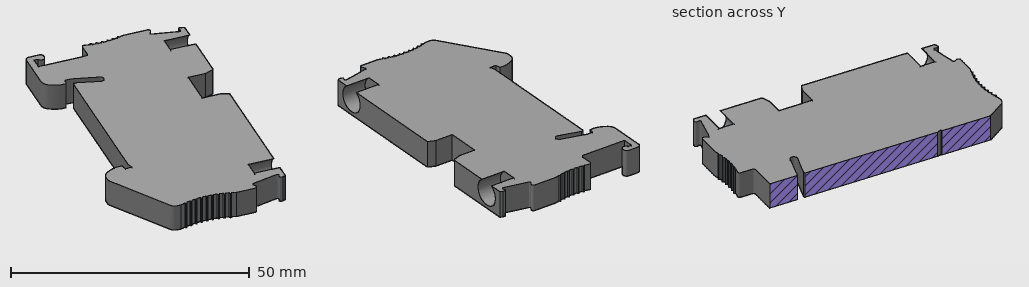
import cadquery as cq
import math

LENGTH = 61.8
HEIGHT = 35.2
THICKNESS = 6.2
OVERSHOOT = 2.0

RAIL_TOP = 6.0
RAIL_LEFT = 12.55
RAIL_RIGHT = 45.3
RAIL_CORNER_RADIUS = 0.25
FOOT_LIP_LOW = 4.66
FOOT_LIP_HIGH = 4.9
LEFT_FOOT_NECK = 10.8
FOOT_TIP = (12.0, 3.4)
FOOT_FLANK_MIDDLE = (11.68, 2.25)
FOOT_TOE = (11.15, 1.2)
FOOT_TOE_MIDDLE = (10.4, 0.33)
FOOT_BOTTOM = (9.3, 0)
FEET_CENTRE = 28.05
RAIL_UNDERCUT = 0.4
RAIL_UNDERCUT_WIDTH = 1.25

SLIT_WIDTH = 1.6
SLIT_TOP = (13.1, 11.85)
SLIT_LOW = (11.65, 6.3)

HOOK_SIDE = 0.19
POCKET_TOP = 12.67
POCKET_FLOOR = 1.5
POCKET_RIGHT = 4.12
POCKET_TOP_RADIUS = 0.6
HOOK_INNER = 1.6
HOOK_TOP = 3.95
HOOK_HEAD_RADIUS = 0.75
HOOK_HEAD_FLAT_END = 1.35
HOOK_HEAD_BULGE = (2.1, 3.0)
HOOK_NECK = 2.35
LUG_RADIUS = 0.5
HOOK_BASE_RADIUS = 0.86

SLOPE_START = 48.0
SLOPE_END = 9.3
SLOPE_LOW_RADIUS = 1.5
SLOPE_HIGH_RADIUS = 1.6

RIDGE_CENTRE = 17.2
RIGHT_GRIP_CENTRE = 17.2
RIGHT_GRIP_HALF = 6.2
RIGHT_GRIP_DEPTH = 1.08
LEFT_GRIP_CENTRE = 17.0
LEFT_GRIP_HALF = 5.1
LEFT_GRIP_DEPTH = 0.8
RIDGE_PITCH = 1.25
RIDGE_HEIGHT = 0.32
RIDGE_BASE = 0.5
RIDGE_TIP = 0.2
RIDGE_ROOT = 0.3
RIGHT_RIDGES = range(-4, 5)
LEFT_RIDGES = range(-2, 4)

LATCH_LIP_X = 1.75
LATCH_LIP_Y = 33.75
LATCH_TOP = (3.1, 34.15)
LATCH_LOW = (1.65, 27.5)
LATCH_SHOULDER = 28.5
LATCH_LIP_CHAMFER = (0.25, 0.6)
LATCH_SMALL_RADIUS = 0.3
LATCH_SHOULDER_RADIUS = 0.5

NOTCH_LEFT = 19.2
NOTCH_RIGHT = 27.2
NOTCH_FLOOR = 29.27
NOTCH_LEFT_FLARE = (0.75, 2.0)
NOTCH_RIGHT_FLARE = (0.7, 1.7)
NOTCH_LEFT_RADIUS = 0.5

GROOVE_CENTRES = (6.72, 54.96)
GROOVE_MOUTH = 3.4
GROOVE_LENGTH = 5.75
GROOVE_RADIUS = 2.9
GROOVE_FLAT = 0.36


def prism(points):
    """Full-thickness prism over a closed polygon."""
    return cq.Workplane("XY").polyline(points).close().extrude(THICKNESS)


def mirrored(solid):
    """Copy of a solid mirrored to the other end of the plate."""
    return solid.mirror("YZ", (LENGTH / 2, 0, 0))


def round_corner(solid, x, y, radius):
    """Round the upright edge nearest to (x, y)."""
    nearest = cq.selectors.NearestToPointSelector((x, y, THICKNESS / 2))
    return solid.edges("|Z").edges(nearest).fillet(radius)


def facing(point):
    """The point on the right foot that mirrors a point on the left foot."""
    return (2 * FEET_CENTRE - point[0], point[1])


def rail_recess():
    right_tip = facing(FOOT_TIP)
    right_bottom = facing(FOOT_BOTTOM)
    recess = (
        cq.Workplane("XY")
        .moveTo(LEFT_FOOT_NECK, RAIL_TOP)
        .lineTo(LEFT_FOOT_NECK, FOOT_LIP_HIGH)
        .lineTo(FOOT_TIP[0], FOOT_LIP_LOW)
        .lineTo(*FOOT_TIP)
        .threePointArc(FOOT_FLANK_MIDDLE, FOOT_TOE)
        .threePointArc(FOOT_TOE_MIDDLE, FOOT_BOTTOM)
        .lineTo(FOOT_BOTTOM[0], -OVERSHOOT)
        .lineTo(right_bottom[0], -OVERSHOOT)
        .lineTo(*right_bottom)
        .threePointArc(facing(FOOT_TOE_MIDDLE), facing(FOOT_TOE))
        .threePointArc(facing(FOOT_FLANK_MIDDLE), right_tip)
        .lineTo(right_tip[0], FOOT_LIP_LOW)
        .lineTo(RAIL_RIGHT, FOOT_LIP_HIGH)
        .lineTo(RAIL_RIGHT, RAIL_TOP + RAIL_UNDERCUT)
        .lineTo(RAIL_RIGHT - RAIL_UNDERCUT_WIDTH, RAIL_TOP)
        .close()
        .extrude(THICKNESS)
    )
    return recess


def spring_slit():
    run = SLIT_TOP[0] - SLIT_LOW[0]
    rise = SLIT_TOP[1] - SLIT_LOW[1]
    length = math.hypot(run, rise)
    side = SLIT_WIDTH / 2 * rise / length
    drop = SLIT_WIDTH / 2 * run / length
    end_x = SLIT_TOP[0] + drop
    end_y = SLIT_TOP[1] + side
    slit = (
        cq.Workplane("XY")
        .moveTo(RAIL_LEFT, RAIL_TOP)
        .lineTo(SLIT_LOW[0] + side, SLIT_LOW[1] + drop)
        .lineTo(SLIT_TOP[0] + side, SLIT_TOP[1] - drop)
        .threePointArc((end_x, end_y), (SLIT_TOP[0] - side, SLIT_TOP[1] + drop))
        .lineTo(LEFT_FOOT_NECK, SLIT_LOW[1])
        .lineTo(LEFT_FOOT_NECK, RAIL_TOP)
        .close()
        .extrude(THICKNESS)
    )
    return slit


def ridge(base_x, y, outward):
    """One grip ridge standing on the grip surface; outward is -1 or +1 along X."""
    root = base_x - outward * RIDGE_ROOT
    tip = base_x + outward * RIDGE_HEIGHT
    return prism([
        (root, y - RIDGE_BASE / 2),
        (base_x, y - RIDGE_BASE / 2),
        (tip, y - RIDGE_TIP / 2),
        (tip, y + RIDGE_TIP / 2),
        (base_x, y + RIDGE_BASE / 2),
        (root, y + RIDGE_BASE / 2),
    ])


def arc_radius(half_chord, depth):
    return (half_chord ** 2 + depth ** 2) / (2 * depth)


def add_grip(plate, edge_x, outward, centre_y, half_chord, depth, ridge_numbers):
    """Hollow one end of the plate with an arc and set ridges along it."""
    radius = arc_radius(half_chord, depth)
    axis_x = edge_x + outward * (radius - depth)
    plate = plate.cut(cq.Workplane("XY").center(axis_x, centre_y).circle(radius).extrude(THICKNESS))
    for number in ridge_numbers:
        ridge_y = RIDGE_CENTRE + number * RIDGE_PITCH
        base_x = axis_x - outward * math.sqrt(radius ** 2 - (ridge_y - centre_y) ** 2)
        plate = plate.union(ridge(base_x, ridge_y, outward))
    return plate


def groove(centre_x):
    """Channel of slot-shaped section whose upper part breaks through the top face."""
    half_gap = (GROOVE_MOUTH - GROOVE_FLAT) / 2
    axis_z = THICKNESS - math.sqrt(GROOVE_RADIUS ** 2 - half_gap ** 2)
    section_width = 2 * GROOVE_RADIUS + GROOVE_FLAT
    section = cq.Workplane("XZ", origin=(centre_x, HEIGHT, axis_z)).slot2D(section_width, 2 * GROOVE_RADIUS)
    return section.extrude(GROOVE_LENGTH)


def hook_pocket():
    pocket = (
        cq.Workplane("XY")
        .moveTo(-OVERSHOOT, POCKET_TOP)
        .lineTo(POCKET_RIGHT, POCKET_TOP)
        .lineTo(POCKET_RIGHT, POCKET_FLOOR)
        .lineTo(HOOK_INNER, POCKET_FLOOR)
        .lineTo(HOOK_INNER, HOOK_NECK)
        .threePointArc(HOOK_HEAD_BULGE, (HOOK_HEAD_FLAT_END, HOOK_TOP))
        .lineTo(HOOK_SIDE + HOOK_HEAD_RADIUS, HOOK_TOP)
        .radiusArc((HOOK_SIDE, HOOK_TOP - HOOK_HEAD_RADIUS), -HOOK_HEAD_RADIUS)
        .lineTo(HOOK_SIDE, -OVERSHOOT)
        .lineTo(-OVERSHOOT, -OVERSHOOT)
        .close()
        .extrude(THICKNESS)
    )
    return pocket


def latch_notch():
    notch = prism([
        (-OVERSHOOT, LATCH_LIP_Y),
        (LATCH_LIP_X, LATCH_LIP_Y),
        LATCH_TOP,
        LATCH_LOW,
        (0, LATCH_SHOULDER),
        (-OVERSHOOT, LATCH_SHOULDER),
    ])
    lip_side = prism([
        (-OVERSHOOT, LATCH_LIP_Y),
        (LATCH_LIP_X, LATCH_LIP_Y),
        (LATCH_LIP_X, HEIGHT - LATCH_LIP_CHAMFER[1]),
        (LATCH_LIP_X + LATCH_LIP_CHAMFER[0], HEIGHT),
        (-OVERSHOOT, HEIGHT),
    ])
    return notch.union(lip_side)


def top_notch():
    return prism([
        (NOTCH_LEFT - NOTCH_LEFT_FLARE[0], HEIGHT),
        (NOTCH_LEFT, HEIGHT - NOTCH_LEFT_FLARE[1]),
        (NOTCH_LEFT, NOTCH_FLOOR),
        (NOTCH_RIGHT, NOTCH_FLOOR),
        (NOTCH_RIGHT, HEIGHT - NOTCH_RIGHT_FLARE[1]),
        (NOTCH_RIGHT + NOTCH_RIGHT_FLARE[0], HEIGHT),
    ])


def cut_outline(plate):
    """Cut every opening that shapes the outline."""
    plate = plate.cut(prism([(SLOPE_START, 0), (LENGTH, 0), (LENGTH, SLOPE_END)]))
    plate = plate.cut(rail_recess()).cut(spring_slit()).cut(hook_pocket()).cut(top_notch())
    return plate.cut(latch_notch()).cut(mirrored(latch_notch()))


def round_outline(plate):
    """Round the upright edges left by the outline cuts."""
    corners = [
        (SLOPE_START, 0, SLOPE_LOW_RADIUS),
        (LENGTH, SLOPE_END, SLOPE_HIGH_RADIUS),
        (POCKET_RIGHT, POCKET_TOP, POCKET_TOP_RADIUS),
        (HOOK_SIDE, 0, HOOK_BASE_RADIUS),
        (RAIL_LEFT, RAIL_TOP, RAIL_CORNER_RADIUS),
        (NOTCH_LEFT - NOTCH_LEFT_FLARE[0], HEIGHT, NOTCH_LEFT_RADIUS),
    ]
    latch_corners = [
        (LATCH_LIP_X, LATCH_LIP_Y, LATCH_SMALL_RADIUS),
        (*LATCH_TOP, LATCH_SMALL_RADIUS),
        (*LATCH_LOW, LATCH_SMALL_RADIUS),
        (0, LATCH_SHOULDER, LATCH_SHOULDER_RADIUS),
    ]
    corners += latch_corners
    corners += [(LENGTH - x, y, radius) for x, y, radius in latch_corners]
    for x, y, radius in corners:
        plate = round_corner(plate, x, y, radius)
    return plate


plate = cq.Workplane("XY").box(LENGTH, HEIGHT, THICKNESS, centered=False)
plate = cut_outline(plate)
plate = round_outline(plate)

plate = add_grip(plate, LENGTH, 1, RIGHT_GRIP_CENTRE, RIGHT_GRIP_HALF, RIGHT_GRIP_DEPTH, RIGHT_RIDGES)
plate = add_grip(plate, 0, -1, LEFT_GRIP_CENTRE, LEFT_GRIP_HALF, LEFT_GRIP_DEPTH, LEFT_RIDGES)
plate = round_corner(plate, 0, POCKET_TOP, LUG_RADIUS)

for centre_x in GROOVE_CENTRES:
    plate = plate.cut(groove(centre_x))

result = plate